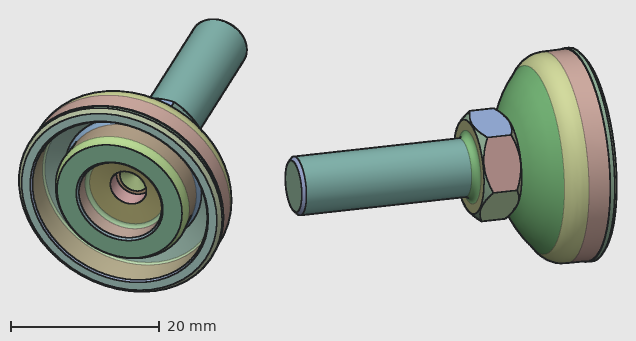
import cadquery as cq
import math

total_length = 41.25
foot_height = 10.95
nut_height = 5.35
nut_top = foot_height + nut_height

rim_diameter = 29.0
rim_radius = rim_diameter / 2
rim_chamfer_width = 0.58
rim_chamfer_height = 0.5
rim_band_top = 1.1
wall_bottom_radius = 14.4
wall_top_radius = 14.35
wall_top = 4.12
shoulder_radius = 12.8
shoulder_height = 7.1
shoulder_mid = (13.98, 5.77)
dome_mid = (9.8, 9.4)
crown_radius = 6.4

recess_mouth_radius = 12.7
recess_mouth_chamfer = 0.25
recess_wall_radius = 12.4
recess_wall_depth = 4.1
recess_floor_outer = (12.15, 4.35)
recess_floor_outer_mid = (12.33, 4.25)
recess_floor_inner = (9.75, 5.75)
hub_root_mid = (9.4, 5.45)
hub_root_depth = 4.95
hub_neck_radius = 9.25
hub_side_radius = 9.5
hub_face_radius = 8.9
hub_round_mid = (9.3, 0.65)
hub_round_depth = 1.4
hub_inset = 0.12

socket_radius = 5.9
socket_chamfer = 0.3
socket_depth = 3.15
socket_floor_round = 0.5
socket_cone_rise = 0.4
bore_radius = 2.55

rod_radius = 4.0
rod_chamfer = 0.5
neck_fillet = 1.0
pin_end = 6.2
countersink_radius = 2.05
countersink_depth = 1.25
nut_across_flats = 13.0
nut_corner_angle = 10.7
nut_chamfer_height = 1.0

COS_45 = math.sqrt(0.5)


def revolve(profile):
    """Turn a closed half profile (radius, y) around the Y axis."""
    return profile.close().revolve(360, (0, 0, 0), (0, 1, 0))


def make_foot_blank():
    return revolve(
        cq.Workplane("XY")
        .moveTo(0, 0)
        .lineTo(rim_radius - rim_chamfer_width, 0)
        .lineTo(rim_radius, rim_chamfer_height)
        .lineTo(rim_radius, rim_band_top)
        .lineTo(wall_bottom_radius, rim_band_top)
        .lineTo(wall_top_radius, wall_top)
        .threePointArc(shoulder_mid, (shoulder_radius, shoulder_height))
        .threePointArc(dome_mid, (crown_radius, foot_height))
        .lineTo(0, foot_height)
    )


def make_recess():
    """Annular recess between the rim and the hub, with a conical floor."""
    return revolve(
        cq.Workplane("XY")
        .moveTo(recess_mouth_radius, 0)
        .lineTo(recess_mouth_radius - recess_mouth_chamfer, recess_mouth_chamfer)
        .lineTo(recess_wall_radius, recess_wall_depth)
        .threePointArc(recess_floor_outer_mid, recess_floor_outer)
        .lineTo(*recess_floor_inner)
        .threePointArc(hub_root_mid, (hub_neck_radius, hub_root_depth))
        .lineTo(hub_side_radius, hub_round_depth)
        .threePointArc(hub_round_mid, (hub_face_radius, hub_inset))
        .lineTo(0, hub_inset)
        .lineTo(0, 0)
    )


def make_socket():
    """Stepped hole through the hub: chamfered socket, shallow cone and pin bore."""
    socket_floor = hub_inset + socket_depth
    floor_radius = socket_radius - socket_floor_round
    round_mid_radius = floor_radius + socket_floor_round * COS_45
    round_mid_y = socket_floor - socket_floor_round * (1 - COS_45)
    return revolve(
        cq.Workplane("XY")
        .moveTo(0, hub_inset)
        .lineTo(socket_radius + socket_chamfer, hub_inset)
        .lineTo(socket_radius, hub_inset + socket_chamfer)
        .lineTo(socket_radius, socket_floor - socket_floor_round)
        .threePointArc((round_mid_radius, round_mid_y), (floor_radius, socket_floor))
        .lineTo(bore_radius, socket_floor + socket_cone_rise)
        .lineTo(bore_radius, foot_height)
        .lineTo(0, foot_height)
    )


def make_foot():
    return make_foot_blank().cut(make_recess()).cut(make_socket())


def make_nut():
    """Hexagon turned about Y, its corners chamfered by cones at both ends."""
    corner_radius = nut_across_flats / math.sqrt(3)
    hexagon = (
        cq.Workplane("XZ", origin=(0, foot_height, 0))
        .polygon(6, 2 * corner_radius)
        .extrude(-nut_height)
        .rotate((0, 0, 0), (0, 1, 0), -nut_corner_angle)
    )
    envelope = revolve(
        cq.Workplane("XY")
        .moveTo(0, foot_height)
        .lineTo(crown_radius, foot_height)
        .lineTo(corner_radius, foot_height + nut_chamfer_height)
        .lineTo(corner_radius, nut_top - nut_chamfer_height)
        .lineTo(crown_radius, nut_top)
        .lineTo(0, nut_top)
    )
    return hexagon.intersect(envelope)


def make_rod():
    """Chamfered rod with a concave fillet where it meets the nut."""
    fillet_mid_radius = rod_radius + neck_fillet * (1 - COS_45)
    fillet_mid_y = nut_top + neck_fillet * (1 - COS_45)
    return revolve(
        cq.Workplane("XY")
        .moveTo(0, nut_top)
        .lineTo(rod_radius + neck_fillet, nut_top)
        .threePointArc((fillet_mid_radius, fillet_mid_y), (rod_radius, nut_top + neck_fillet))
        .lineTo(rod_radius, total_length - rod_chamfer)
        .lineTo(rod_radius - rod_chamfer, total_length)
        .lineTo(0, total_length)
    )


def make_pin():
    """Pin that fills the upper part of the foot bore, countersunk at its free end."""
    return revolve(
        cq.Workplane("XY")
        .moveTo(0, pin_end + countersink_depth)
        .lineTo(countersink_radius, pin_end)
        .lineTo(bore_radius, pin_end)
        .lineTo(bore_radius, foot_height)
        .lineTo(0, foot_height)
    )


def make_stud():
    return make_nut().union(make_rod()).union(make_pin())


foot = make_foot()
stud = make_stud()

result = cq.Compound.makeCompound([foot.val(), stud.val()])